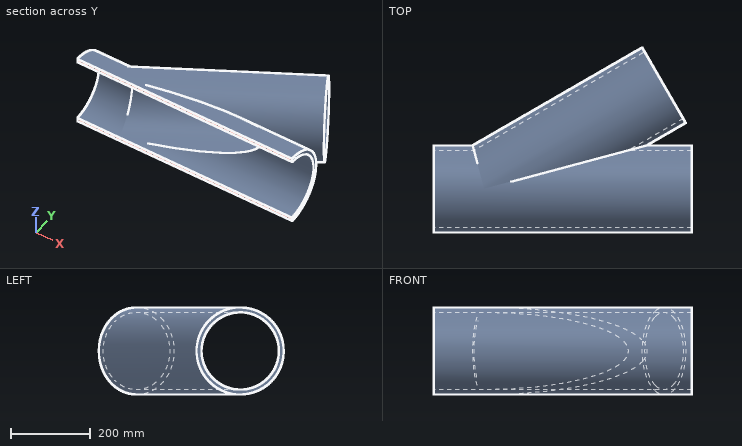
import cadquery as cq
import math

outer_diameter = 219.075
bore_diameter = 193.675
run_length = 647.7
inlet_length = 127.0
branch_length = 520.7
branch_angle = 30.0

run_direction = cq.Vector(1, 0, 0)
run_start = run_direction * -inlet_length
branch_direction = cq.Vector(
    math.cos(math.radians(branch_angle)),
    math.sin(math.radians(branch_angle)),
    0,
)
branch_start = cq.Vector(0, 0, 0)


def wye_cylinders(diameter):
    """Return the joined run and branch cylinders of the given diameter."""
    radius = diameter / 2
    run = cq.Solid.makeCylinder(radius, run_length, run_start, run_direction)
    branch = cq.Solid.makeCylinder(radius, branch_length, branch_start, branch_direction)
    return cq.Workplane(run).union(cq.Workplane(branch))


outer_body = wye_cylinders(outer_diameter)
bore = wye_cylinders(bore_diameter)

result = outer_body.cut(bore)